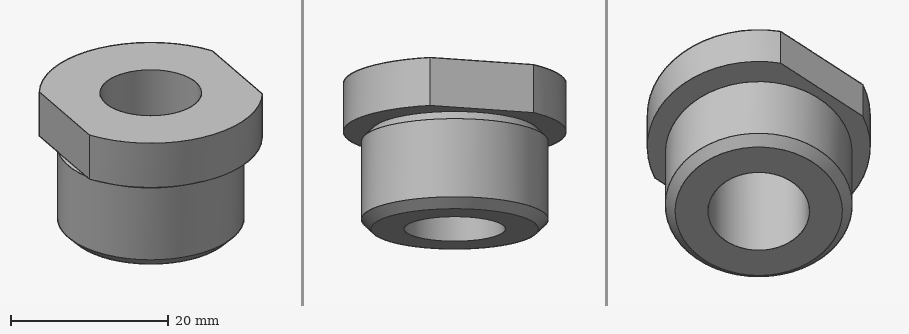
import cadquery as cq

flange_diameter = 28.4
across_flats = 24.88
total_height = 19.05
flange_height = 6.3
body_diameter = 23.8
bore_diameter = 12.92
chamfer = 1.25

body_height = total_height - flange_height

body = (
    cq.Workplane("XY")
    .circle(body_diameter / 2)
    .extrude(body_height)
    .faces("<Z or >Z")
    .chamfer(chamfer)
)

flats = (
    cq.Workplane("XY", origin=(0, 0, body_height))
    .rect(flange_diameter, across_flats)
    .extrude(flange_height)
)
flange = (
    cq.Workplane("XY", origin=(0, 0, body_height))
    .circle(flange_diameter / 2)
    .extrude(flange_height)
    .intersect(flats)
)

bore = cq.Workplane("XY").circle(bore_diameter / 2).extrude(total_height)

result = body.union(flange).cut(bore)